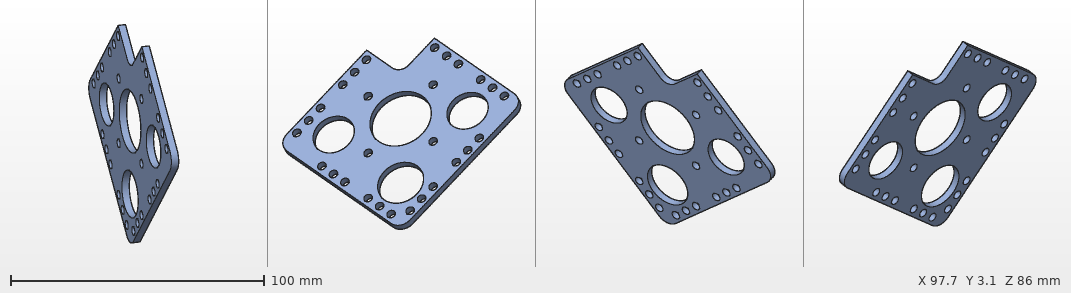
import cadquery as cq
import math

width = 97.7
height = 86.0
thickness = 3.1
corner_radius = 5.6

corner_loss = math.sqrt(2) - 1
half_diagonal = width / 2 + corner_radius * corner_loss
top = height / 2
square_z = width / 2 - height / 2

notch_half_width = square_z + half_diagonal - top
notch_root_z = top - notch_half_width
notch_radius = 4.8

main_bore_diameter = 25.4
main_bore_z = 7.5
side_bore_diameter = 17.1
side_bore_x = 27.7
side_bore_z = 5.7
lower_bore_diameter = 19.0
lower_bore_z = -22.9

small_hole_diameter = 3.5
mount_offset = 13.5
edge_inset = 3.1
upper_group_pitch = 6.9
lower_group_pitch = 6.7
upper_group_x = (19.0, 38.1)
lower_group_x = (8.7, 27.8)


def make_plate():
    outline = [
        (0, square_z - half_diagonal),
        (half_diagonal, square_z),
        (notch_half_width, top),
        (0, notch_root_z),
        (-notch_half_width, top),
        (-half_diagonal, square_z),
    ]
    plate = cq.Workplane("XZ", origin=(0, thickness / 2, 0)).polyline(outline).close().extrude(thickness)
    plate = plate.edges("|Y").edges("<Z or <X or >X").fillet(corner_radius)
    root = cq.selectors.NearestToPointSelector((0, 0, notch_root_z))
    return plate.edges("|Y").edges(root).fillet(notch_radius)


def drill(plate, points, diameter):
    back = cq.Workplane("XZ", origin=(0, thickness, 0))
    cutter = back.pushPoints(points).circle(diameter / 2)
    return plate.cut(cutter.extrude(2 * thickness))


def edge_group_points(centres_x, pitch, vertical_sign):
    """Groups of three on a line parallel to an edge, mirrored about the Z axis."""
    line_reach = half_diagonal - edge_inset * math.sqrt(2)
    points = []
    for centre_x in centres_x:
        for step in (-1, 0, 1):
            x = centre_x + step * pitch / math.sqrt(2)
            z = square_z + vertical_sign * (line_reach - x)
            points += [(x, z), (-x, z)]
    return points


mount_points = [
    (x_sign * mount_offset, main_bore_z + z_sign * mount_offset)
    for x_sign in (-1, 1)
    for z_sign in (-1, 1)
]
small_hole_points = (
    mount_points
    + edge_group_points(upper_group_x, upper_group_pitch, 1)
    + edge_group_points(lower_group_x, lower_group_pitch, -1)
)

result = make_plate()
result = drill(result, [(0, main_bore_z)], main_bore_diameter)
result = drill(result, [(-side_bore_x, side_bore_z), (side_bore_x, side_bore_z)], side_bore_diameter)
result = drill(result, [(0, lower_bore_z)], lower_bore_diameter)
result = drill(result, small_hole_points, small_hole_diameter)